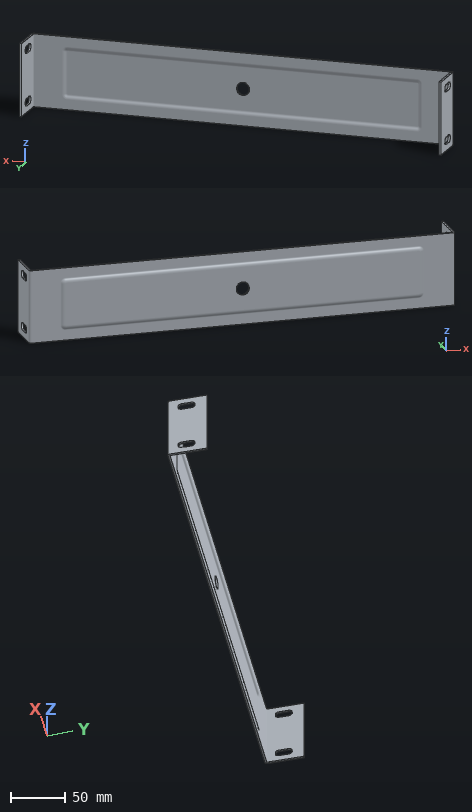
import cadquery as cq
import math

LENGTH = 410.0
HEIGHT = 70.0
TOTAL_DEPTH = 39.0
THICKNESS = 2.0
BEND_OUTER_RADIUS = 2.5
BEND_INNER_RADIUS = BEND_OUTER_RADIUS - THICKNESS

PANEL_RISE = 1.5
PANEL_END_MARGIN = 30.0
PANEL_EDGE_MARGIN = 10.0
PANEL_CORNER_RADIUS = 5.0
RIM_FOOT_RADIUS = 2.0
RIM_SHOULDER_RADIUS = 5.0

HOLE_DIAMETER = 12.5

SLOT_LENGTH = 16.0
SLOT_WIDTH = 7.0
SLOT_FROM_REAR = 19.3
SLOT_FROM_EDGE = 10.0

FLANGE_DEPTH = TOTAL_DEPTH - PANEL_RISE
PANEL_LENGTH = LENGTH - 2 * PANEL_END_MARGIN
PANEL_HEIGHT = HEIGHT - 2 * PANEL_EDGE_MARGIN


def make_channel():
    """U-shaped bent sheet, outer front face on Y = 0, centred on X and Z."""
    outer = (
        cq.Workplane("XY")
        .box(LENGTH, FLANGE_DEPTH, HEIGHT, centered=(True, False, True))
        .edges("|Z and <Y")
        .fillet(BEND_OUTER_RADIUS)
    )
    inner = (
        cq.Workplane("XY")
        .box(LENGTH - 2 * THICKNESS, FLANGE_DEPTH, HEIGHT, centered=(True, False, True))
        .edges("|Z and <Y")
        .fillet(BEND_INNER_RADIUS)
        .translate((0, THICKNESS, 0))
    )
    return outer.cut(inner)


def rim_section(plane, half_width, base, foot_radius, shoulder_radius, mirrored):
    """Panel cross-section, rising towards -Y from Y = base.

    The rim is a foot arc and a shoulder arc, tangent to each other and to the flats.
    """
    radius_sum = foot_radius + shoulder_radius
    sweep = math.acos(1 - PANEL_RISE / radius_sum)
    flat = half_width - radius_sum * math.sin(sweep)
    back = base + THICKNESS / 2
    top = base - PANEL_RISE

    def foot(angle):
        return (half_width - foot_radius * math.sin(angle), base - foot_radius * (1 - math.cos(angle)))

    def shoulder(angle):
        return (flat + shoulder_radius * math.sin(angle), top + shoulder_radius * (1 - math.cos(angle)))

    def place(point, side=1):
        across, depth = point
        return (side * across, depth) if plane == "XY" else (depth, side * across)

    section = (
        cq.Workplane(plane)
        .moveTo(*place((0, back)))
        .lineTo(*place((half_width, back)))
        .lineTo(*place((half_width, base)))
        .threePointArc(place(foot(sweep / 2)), place(foot(sweep)))
        .threePointArc(place(shoulder(sweep / 2)), place((flat, top)))
        .lineTo(*place((0, top)))
    )
    if mirrored:
        section = (
            section.lineTo(*place((flat, top), -1))
            .threePointArc(place(shoulder(sweep / 2), -1), place(shoulder(sweep), -1))
            .threePointArc(place(foot(sweep / 2), -1), place((half_width, base), -1))
            .lineTo(*place((half_width, back), -1))
        )
    return section.close()


def make_panel(base, foot_radius, shoulder_radius):
    """Rounded rectangular panel: two crossing bars joined by four domed corners."""
    straight_x = PANEL_LENGTH / 2 - PANEL_CORNER_RADIUS
    straight_z = PANEL_HEIGHT / 2 - PANEL_CORNER_RADIUS
    rim = (base, foot_radius, shoulder_radius)
    panel = rim_section("XY", PANEL_LENGTH / 2, *rim, True).extrude(straight_z, both=True)
    panel = panel.union(rim_section("YZ", PANEL_HEIGHT / 2, *rim, True).extrude(straight_x, both=True))
    dome = rim_section("XY", PANEL_CORNER_RADIUS, *rim, False).revolve(360, (0, 0, 0), (0, 1, 0))
    for x in (-straight_x, straight_x):
        for z in (-straight_z, straight_z):
            panel = panel.union(dome.translate((x, 0, z)))
    return panel


def make_slots():
    """Cutters for both flanges, running the full length along X."""
    slot_z = HEIGHT / 2 - SLOT_FROM_EDGE
    slot_y = FLANGE_DEPTH - SLOT_FROM_REAR
    return (
        cq.Workplane("YZ")
        .pushPoints([(slot_y, -slot_z), (slot_y, slot_z)])
        .slot2D(SLOT_LENGTH, SLOT_WIDTH)
        .extrude(LENGTH, both=True)
    )


def make_hole():
    """Cutter for the round hole in the middle of the panel."""
    return cq.Workplane("XZ").circle(HOLE_DIAMETER / 2).extrude(TOTAL_DEPTH, both=True)


raised_panel = make_panel(0, RIM_FOOT_RADIUS, RIM_SHOULDER_RADIUS)
recess = make_panel(THICKNESS, RIM_FOOT_RADIUS + THICKNESS, RIM_SHOULDER_RADIUS - THICKNESS)

result = make_channel().union(raised_panel).cut(recess).cut(make_slots()).cut(make_hole())